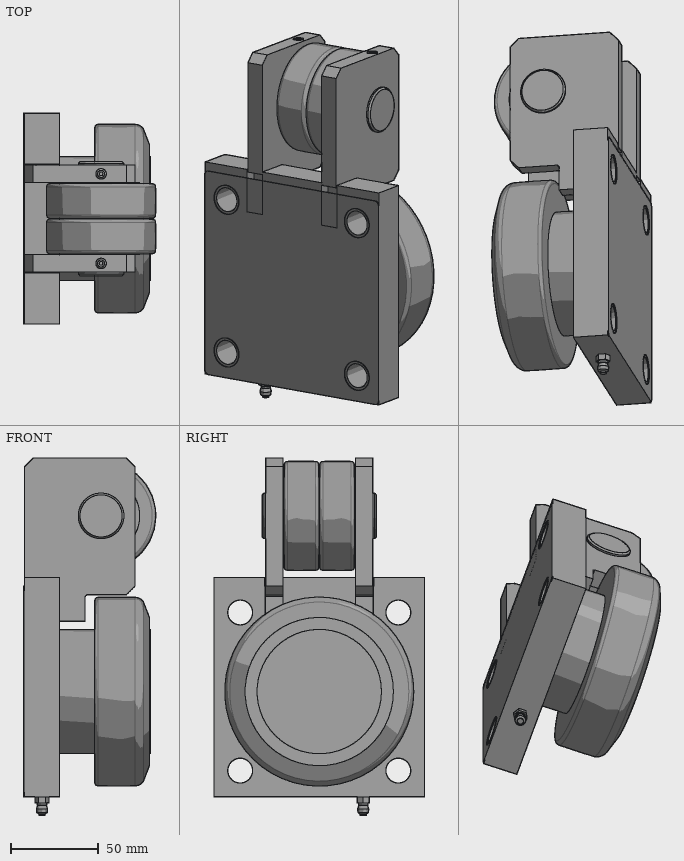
import cadquery as cq
import math


plate_width = 120.0
plate_height = 125.0
plate_thickness = 20.0
pad_thickness = 0.5
pad_height = 120.0
pad_corner_radius = 2.5
plate_front = pad_thickness + plate_thickness
plate_mid_height = pad_height / 2

hole_spacing = 90.0
hole_diameter = 14.0
pad_hole_diameter = 17.0

cheek_thickness = 10.0
cheek_gap = 41.0
cheek_inner = cheek_gap / 2
cheek_outer = cheek_inner + cheek_thickness
cheek_front = 63.5
cheek_top = 193.0
cheek_underside = 115.0
cheek_chamfer = 5.0
foot_front = 35.0
foot_bottom = 100.0
foot_relief = 1.0
rear_notch_depth = 6.5
rear_notch_top = 123.5
slot_clearance = 0.5

small_roller_radius = 31.25
small_roller_x = 44.14
small_roller_z = 160.0
small_roller_inner_end = 0.2
small_roller_outer_end = 20.0
small_roller_rounding = 2.0
spacer_radius = 22.0
pin_radius = 13.0
pin_length = 65.0
pin_chamfer = 1.0

screw_diameter = 6.0
screw_length = 8.0
screw_recess = 0.3
screw_chamfer = 1.0
socket_across_flats = 2.0
socket_depth = 3.0

hub_radius = 35.4
large_roller_radius = 53.85
large_roller_rear = 40.5
large_roller_rounding = 2.0
tread_end = 63.5
shoulder_x = 68.3
shoulder_radius = 51.0
large_face_x = 71.7
large_face_radius = 42.2
cap_front = 72.4

small_crown_radius = 200.0
large_crown_radius = 500.0

nipple_x = pad_thickness + plate_thickness / 2
nipple_y = 25.0
nipple_across_flats = 7.0
nipple_hex_height = 3.3
nipple_length = 10.5
nipple_neck_radius = 2.8
nipple_neck_end = 4.6
nipple_groove_radius = 2.6
nipple_groove_depth = 4.9
nipple_bead_radius = 3.25
nipple_bead_depth = 6.9
nipple_bead_end_radius = 3.0
nipple_bead_end = 8.9
nipple_tip_radius = 1.8
nipple_tip_start = 9.7


def box(x_range, y_range, z_range):
    """Box given by its (low, high) limits along each axis."""
    sizes = [high - low for low, high in (x_range, y_range, z_range)]
    return cq.Workplane("XY").box(*sizes, centered=False).translate(
        (x_range[0], y_range[0], z_range[0])
    )


def x_cylinder(radius, x_start, x_end, y, z):
    return cq.Workplane("YZ", origin=(x_start, y, z)).circle(radius).extrude(x_end - x_start)


def y_cylinder(radius, length, x, z):
    """Cylinder along Y, centred on the XZ plane."""
    return cq.Workplane("XZ", origin=(x, 0, z)).circle(radius).extrude(length / 2, both=True)


def hexagon(workplane, across_flats):
    return workplane.polygon(6, across_flats / math.cos(math.pi / 6))


def crown_sag(crown_radius, tread_width):
    """Drop of the crowned tread from its middle to its ends."""
    return crown_radius - math.sqrt(crown_radius**2 - (tread_width / 2) ** 2)


def make_plate():
    half_width = plate_width / 2
    plate = box((pad_thickness, plate_front), (-half_width, half_width), (0, plate_height))
    pad = box((0, pad_thickness), (-half_width, half_width), (0, pad_height))
    pad = pad.edges("|X").fillet(pad_corner_radius)
    for side in (-1, 1):
        slot_y = sorted((side * cheek_inner, side * (cheek_outer + slot_clearance)))
        plate = plate.cut(box((pad_thickness, plate_front), slot_y, (foot_bottom, plate_height)))
    return plate.union(pad)


def make_mounting_holes():
    """Cutters for the four holes, each wider where it passes through the pad."""
    drill = x_cylinder(hole_diameter / 2, 0, plate_front, 0, 0)
    drill = drill.union(x_cylinder(pad_hole_diameter / 2, 0, pad_thickness, 0, 0))
    holes = cq.Workplane("XY")
    for y in (-hole_spacing / 2, hole_spacing / 2):
        for z_offset in (-hole_spacing / 2, hole_spacing / 2):
            holes = holes.add(drill.translate((0, y, plate_mid_height + z_offset)))
    return holes.combine()


def make_cheek(side):
    outline = (
        cq.Workplane("XZ")
        .moveTo(pad_thickness, rear_notch_top)
        .lineTo(pad_thickness, cheek_top - cheek_chamfer)
        .line(cheek_chamfer, cheek_chamfer)
        .lineTo(cheek_front - cheek_chamfer, cheek_top)
        .line(cheek_chamfer, -cheek_chamfer)
        .lineTo(cheek_front, cheek_underside + cheek_chamfer)
        .line(-cheek_chamfer, -cheek_chamfer)
        .lineTo(foot_front + foot_relief, cheek_underside)
        .line(-foot_relief, -foot_relief)
        .lineTo(foot_front, foot_bottom)
        .lineTo(pad_thickness + rear_notch_depth, foot_bottom)
        .lineTo(pad_thickness + rear_notch_depth, rear_notch_top)
        .close()
    )
    cheek = outline.extrude(cheek_thickness / 2, both=True)
    cheek = cheek.translate((0, side * (cheek_inner + cheek_outer) / 2, 0))
    return fit_set_screw(cheek, side)


def fit_set_screw(cheek, side):
    """Set screw sunk into the cheek's top, above the pin, with a hexagon socket."""
    top = cq.Workplane("XY", origin=(small_roller_x, side * (cheek_inner + cheek_outer) / 2, cheek_top))
    bore = top.circle(screw_diameter / 2).extrude(-screw_length)
    screw_top = top.workplane(offset=-screw_recess)
    screw = screw_top.circle(screw_diameter / 2).extrude(screw_recess - screw_length)
    screw = screw.faces(">Z").chamfer(screw_chamfer)
    socket = hexagon(screw_top, socket_across_flats).extrude(-socket_depth)
    return cheek.cut(bore).union(screw.cut(socket))


def make_small_roller(side):
    """Crowned roller with rounded rims, turned about the pin."""
    tread_start = small_roller_inner_end + small_roller_rounding
    tread_stop = small_roller_outer_end - small_roller_rounding
    tread_mid = (tread_start + tread_stop) / 2
    edge_radius = small_roller_radius - crown_sag(small_crown_radius, tread_stop - tread_start)
    rim_radius = edge_radius - small_roller_rounding
    rim_bulge = small_roller_rounding * math.sqrt(0.5)
    profile = (
        cq.Workplane("XY")
        .moveTo(0, small_roller_inner_end)
        .lineTo(rim_radius, small_roller_inner_end)
        .threePointArc((rim_radius + rim_bulge, tread_start - rim_bulge), (edge_radius, tread_start))
        .threePointArc((small_roller_radius, tread_mid), (edge_radius, tread_stop))
        .threePointArc((rim_radius + rim_bulge, tread_stop + rim_bulge), (rim_radius, small_roller_outer_end))
        .lineTo(0, small_roller_outer_end)
        .close()
    )
    roller = profile.revolve(360, (0, 0, 0), (0, 1, 0)).translate((small_roller_x, 0, small_roller_z))
    return roller if side > 0 else roller.mirror("XZ")


def make_pin():
    pin = y_cylinder(pin_radius, pin_length, small_roller_x, small_roller_z)
    pin = pin.faces("<Y or >Y").chamfer(pin_chamfer)
    return pin.union(y_cylinder(spacer_radius, cheek_gap, small_roller_x, small_roller_z))


def make_large_roller():
    """Hub, crowned roller and end cap turned about an X axis at the plate's middle."""
    tread_start = large_roller_rear + large_roller_rounding
    edge_radius = large_roller_radius - crown_sag(large_crown_radius, tread_end - tread_start)
    rim_radius = edge_radius - large_roller_rounding
    rim_bulge = large_roller_rounding * math.sqrt(0.5)
    profile = (
        cq.Workplane("XY")
        .moveTo(plate_front, 0)
        .lineTo(plate_front, hub_radius)
        .lineTo(large_roller_rear, hub_radius)
        .lineTo(large_roller_rear, rim_radius)
        .threePointArc((tread_start - rim_bulge, rim_radius + rim_bulge), (tread_start, edge_radius))
        .threePointArc(((tread_start + tread_end) / 2, large_roller_radius), (tread_end, edge_radius))
        .tangentArcPoint((shoulder_x, shoulder_radius), relative=False)
        .lineTo(large_face_x, large_face_radius)
        .lineTo(large_face_x, hub_radius)
        .lineTo(cap_front, hub_radius)
        .lineTo(cap_front, 0)
        .close()
    )
    return profile.revolve(360, (0, 0, 0), (1, 0, 0)).translate((0, 0, plate_mid_height))


def make_nipple():
    base = cq.Workplane("XY", origin=(nipple_x, nipple_y, 0))
    hex_head = hexagon(base, nipple_across_flats).extrude(-nipple_hex_height)
    stem = (
        cq.Workplane("XZ")
        .lineTo(nipple_neck_radius, 0)
        .lineTo(nipple_neck_radius, -nipple_neck_end)
        .lineTo(nipple_groove_radius, -nipple_groove_depth)
        .lineTo(nipple_bead_radius, -nipple_bead_depth)
        .lineTo(nipple_bead_end_radius, -nipple_bead_end)
        .lineTo(nipple_tip_radius, -nipple_tip_start)
        .lineTo(nipple_tip_radius, -nipple_length)
        .lineTo(0, -nipple_length)
        .close()
        .revolve(360, (0, 0, 0), (0, 1, 0))
        .translate((nipple_x, nipple_y, 0))
    )
    return hex_head.union(stem)


result = make_plate().cut(make_mounting_holes())
for cheek_side in (-1, 1):
    result = result.union(make_cheek(cheek_side)).union(make_small_roller(cheek_side))
result = result.union(make_pin()).union(make_large_roller()).union(make_nipple())